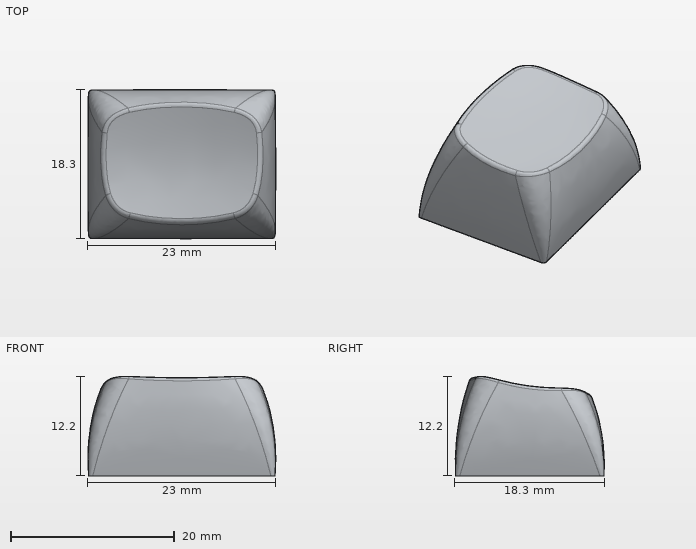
import cadquery as cq
import math

SECTIONS = [
    (0, 11.43, 9.1, 9.13, 0.02, 0.02, 10.9, 10.9, 8.58, 8.58),
    (6.45, 11.1, 8.55, 8.72, 0.28, 0.14, 8.55, 8.92, 5.98, 6.32),
    (12.88, 8.88, 6.0, 6.95, 0.78, 0.3, 4.72, 5.98, 2.42, 3),
]

DISH_LINE = [(-10.35, 12.75), (-7.35, 12.24), (-3.68, 11.0), (0, 10.17), (3.68, 9.94), (7.35, 10.03), (10.35, 10.2)]
DISH_HALF_WIDTH = 12.65
DISH_RISE = 1.6
CUTTER_TOP = 18.4
RIM_RADIUS = 0.6


def section_wire(height, side, rear, front, long_bow, short_bow, rear_x, front_x, rear_y, front_y):
    """Rounded rectangle with bowed sides, symmetric about x = 0."""
    def point(x, y):
        return cq.Vector(x, y, height)

    flank = side - short_bow
    rear_edge = rear - long_bow
    front_edge = front - long_bow
    middle_y = (rear_y - front_y) / 2
    side_half_chord = (rear_y + front_y) / 2
    short_angle = 2 * math.atan(short_bow / side_half_chord)

    def corner(x_sign, y_sign, corner_x, corner_y, edge_y):
        """Curve from a short side to a long side, leaving each at the slope of its bow."""
        long_angle = 2 * math.atan(long_bow / corner_x)
        return cq.Edge.makeSpline(
            [point(x_sign * flank, y_sign * corner_y), point(x_sign * corner_x, y_sign * edge_y)],
            tangents=[
                cq.Vector(-x_sign * math.sin(short_angle), y_sign * math.cos(short_angle), 0),
                cq.Vector(-x_sign * math.cos(long_angle), y_sign * math.sin(long_angle), 0),
            ],
        )

    def long_side(y_sign, corner_x, edge_y, reach):
        return cq.Edge.makeThreePointArc(
            point(-corner_x, y_sign * edge_y), point(0, y_sign * reach), point(corner_x, y_sign * edge_y)
        )

    def short_side(x_sign):
        return cq.Edge.makeThreePointArc(
            point(x_sign * flank, -front_y), point(x_sign * side, middle_y), point(x_sign * flank, rear_y)
        )

    return cq.Wire.assembleEdges([
        long_side(-1, front_x, front_edge, front),
        corner(1, -1, front_x, front_y, front_edge),
        short_side(1),
        corner(1, 1, rear_x, rear_y, rear_edge),
        long_side(1, rear_x, rear_edge, rear),
        corner(-1, 1, rear_x, rear_y, rear_edge),
        short_side(-1),
        corner(-1, -1, front_x, front_y, front_edge),
    ])


def dish_wire(y, low_height):
    """Cross-section of the space above the dish at one station along y."""
    edge_height = low_height + DISH_RISE
    return (
        cq.Workplane("XZ", origin=(0, y, 0))
        .moveTo(-DISH_HALF_WIDTH, edge_height)
        .threePointArc((0, low_height), (DISH_HALF_WIDTH, edge_height))
        .lineTo(DISH_HALF_WIDTH, CUTTER_TOP)
        .lineTo(-DISH_HALF_WIDTH, CUTTER_TOP)
        .close()
        .val()
    )


body = cq.Solid.makeLoft([section_wire(*section) for section in SECTIONS])
dish = cq.Solid.makeLoft([dish_wire(*station) for station in DISH_LINE])
cap = cq.Workplane(body).cut(cq.Workplane(dish))

result = cap.faces(">Z").edges().fillet(RIM_RADIUS)